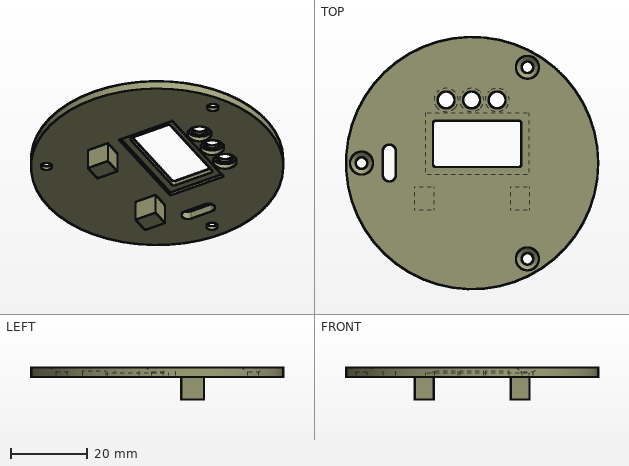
import cadquery as cq
import math

plate_diameter = 66.2
plate_thickness = 2.5

screw_count = 3
screw_circle_radius = 29.0
first_screw_angle = 60.0
screw_diameter = 3.0
countersink_diameter = 6.0
countersink_depth = 1.25
countersink_angle = 2 * math.degrees(
    math.atan((countersink_diameter - screw_diameter) / (2 * countersink_depth))
)

button_count = 3
button_diameter = 4.4
button_counterbore_diameter = 6.2
button_web = 1.0
button_pitch = 6.7
button_row_x = -0.1
button_row_y = 16.55

window_length = 23.1
window_width = 12.1
window_corner_radius = 0.65
window_center = (1.3, 5.0)
window_web = 1.5
recess_margin = 2.0

slot_length = 9.6
slot_width = 3.4
slot_center = (-21.7, 0.0)

foot_length = 5.0
foot_width = 6.0
foot_height = 5.95
foot_spacing = 25.15
foot_y = -9.3


def make_plate():
    return cq.Workplane("XY").circle(plate_diameter / 2).extrude(plate_thickness)


def add_feet(body):
    feet = (
        cq.Workplane("XY")
        .center(0, foot_y)
        .rarray(foot_spacing, 0.65, 2, 1)
        .rect(foot_length, foot_width)
        .extrude(-foot_height)
    )
    return body.union(feet)


def cut_screw_holes(body):
    return (
        body.faces(">Z")
        .workplane(origin=(0, 0, plate_thickness))
        .polarArray(screw_circle_radius, first_screw_angle, 360, screw_count)
        .cskHole(screw_diameter, countersink_diameter, countersink_angle, plate_thickness)
    )


def button_cylinders(diameter, height):
    return (
        cq.Workplane("XY")
        .center(button_row_x, button_row_y)
        .rarray(button_pitch, 0.65, button_count, 1)
        .circle(diameter / 2)
        .extrude(height)
    )


def cut_button_holes(body):
    holes = button_cylinders(button_diameter, plate_thickness)
    counterbores = button_cylinders(button_counterbore_diameter, plate_thickness - button_web)
    return body.cut(holes).cut(counterbores)


def cut_window(body):
    window = (
        cq.Workplane("XY")
        .center(*window_center)
        .rect(window_length, window_width)
        .extrude(plate_thickness)
        .edges("|Z")
        .fillet(window_corner_radius)
    )
    recess = (
        cq.Workplane("XY")
        .center(*window_center)
        .rect(window_length + 2 * recess_margin, window_width + 2 * recess_margin)
        .extrude(plate_thickness - window_web)
    )
    return body.cut(window).cut(recess)


def cut_slot(body):
    slot = (
        cq.Workplane("XY")
        .center(*slot_center)
        .slot2D(slot_length, slot_width, 90)
        .extrude(plate_thickness)
    )
    return body.cut(slot)


result = add_feet(make_plate())
result = cut_screw_holes(result)
result = cut_button_holes(result)
result = cut_window(result)
result = cut_slot(result)